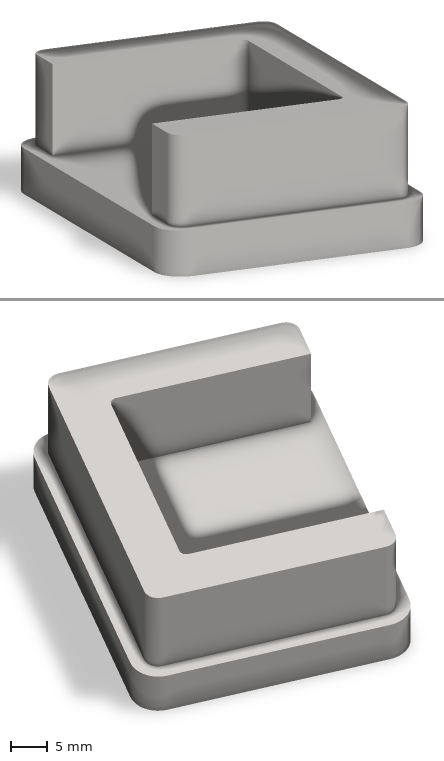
import cadquery as cq

base_length = 50.0
base_width = 40.0
base_height = 6.5
base_corner_radius = 4.0

total_height = 19.5
wall_inset = 2.0
wall_thickness = 7.0
pocket_corner_radius = 1.0

wall_length = base_length - 2 * wall_inset
wall_width = base_width - 2 * wall_inset
wall_height = total_height - base_height
wall_corner_radius = base_corner_radius - wall_inset
pocket_length = wall_length - 2 * wall_thickness
pocket_back = wall_width / 2 - wall_thickness
pocket_front = -base_width / 2


def rounded_block(length, width, height, radius):
    """Block centred on Z, with rounded vertical edges."""
    block = cq.Workplane("XY").box(length, width, height, centered=(True, True, False))
    return block.edges("|Z").fillet(radius)


def open_pocket():
    """Space inside the wall, with rounded corners at the back only."""
    depth = pocket_back - pocket_front
    pocket = cq.Workplane("XY").box(pocket_length, depth, wall_height, centered=(True, True, False))
    pocket = pocket.edges("|Z and >Y").fillet(pocket_corner_radius)
    return pocket.translate((0, (pocket_back + pocket_front) / 2, 0))


base = rounded_block(base_length, base_width, base_height, base_corner_radius)
wall = rounded_block(wall_length, wall_width, wall_height, wall_corner_radius).cut(open_pocket())

result = base.union(wall.translate((0, 0, base_height)))